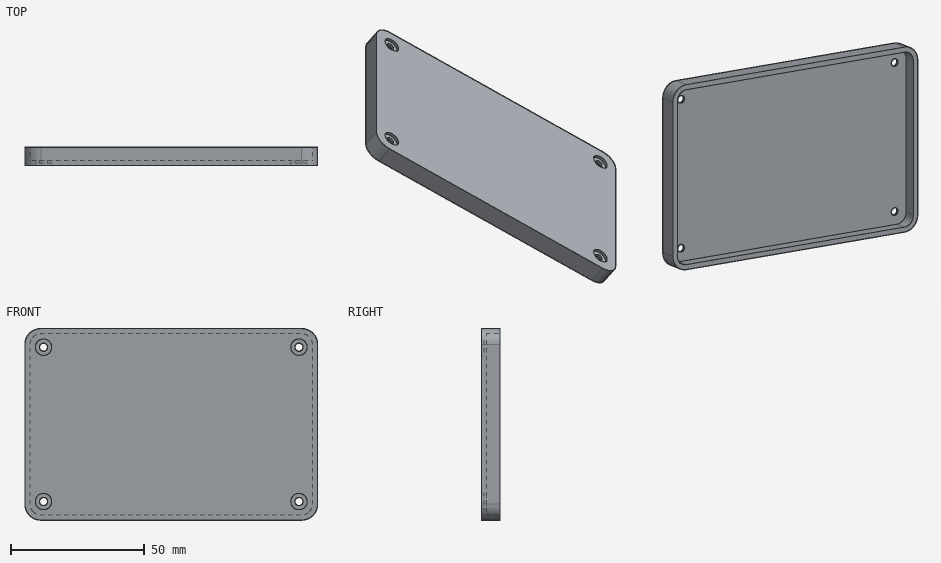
import cadquery as cq

length = 110.0
thickness = 7.0
height = 72.0
corner_radius = 6.0
wall = 2.0
floor = 2.0

hole_inset = 7.0
hole_diameter = 3.0
counterbore_diameter = 6.2
counterbore_depth = 1.0


def rounded_block(size_x, size_y, size_z, radius):
    """Block centred on the origin, with its four edges along Y rounded."""
    return cq.Workplane("XY").box(size_x, size_y, size_z).edges("|Y").fillet(radius)


body = rounded_block(length, thickness, height, corner_radius)

cavity_depth = thickness - floor
cavity = rounded_block(
    length - 2 * wall,
    cavity_depth,
    height - 2 * wall,
    corner_radius - wall,
).translate((0, floor / 2, 0))
tray = body.cut(cavity)

result = (
    tray.faces("<Y")
    .workplane(centerOption="CenterOfBoundBox")
    .rect(length - 2 * hole_inset, height - 2 * hole_inset, forConstruction=True)
    .vertices()
    .cboreHole(hole_diameter, counterbore_diameter, counterbore_depth)
)